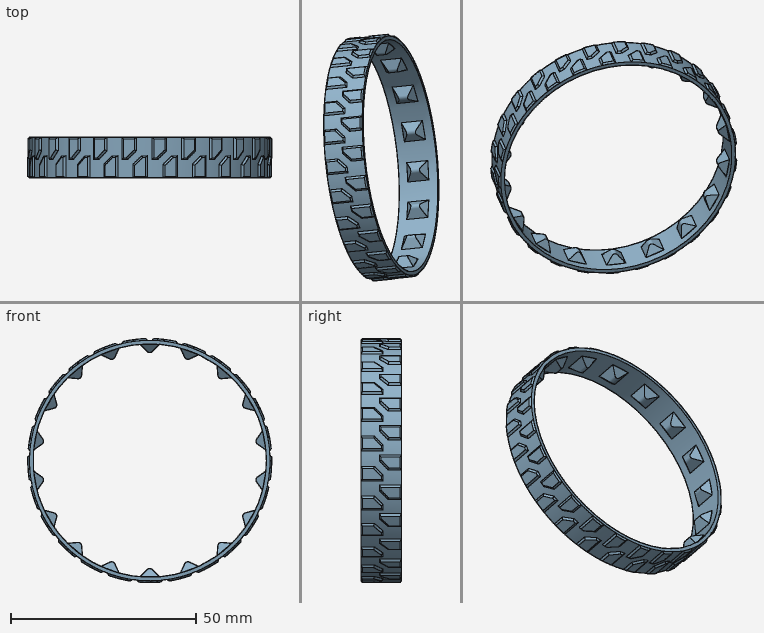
import cadquery as cq
import math

inner_diameter = 63.0
band_diameter = 65.0
tread_diameter = 66.0
ring_width = 11.0
band_radius = band_diameter / 2
tread_radius = tread_diameter / 2

blocks_per_row = 25
block_length = 6.0
block_width = 4.0
block_corner_cut = 2.35
block_top_corner_cut = 2.15
block_side_inset = 0.55
block_end_inset = 0.45
row_offset_angle = 4.55

lug_count = 18
lug_length = 6.0
lug_width = 5.3
lug_side_taper = 45.0
lug_end_taper = 38.0
lug_ridge_radius = 1.0

block_root = math.sqrt(band_radius**2 - (block_width / 2) ** 2)
lug_root = math.sqrt((inner_diameter / 2) ** 2 - (lug_width / 2) ** 2)


def disc(radius):
    """Solid disc across the full ring width."""
    return cq.Workplane("XZ", origin=(0, ring_width / 2, 0)).circle(radius).extrude(ring_width)


def around_ring(shape, count, first_angle):
    """Equally spaced copies of a shape turned about the Y axis, clockwise seen from -Y."""
    step = 360 / count
    return [shape.rotate((0, 0, 0), (0, 1, 0), first_angle + i * step).val() for i in range(count)]


def block_outline(workplane, side_inset, end_inset, corner_cut):
    """Block rectangle on the -Y edge, inset, with its -X inner corner cut at 45 degrees."""
    half_width = block_width / 2 - side_inset
    outer_end = -ring_width / 2 + end_inset
    inner_end = -ring_width / 2 + block_length - end_inset
    return (
        workplane.moveTo(-half_width, outer_end)
        .lineTo(half_width, outer_end)
        .lineTo(half_width, inner_end)
        .lineTo(-half_width + corner_cut, inner_end)
        .lineTo(-half_width, inner_end - corner_cut)
        .close()
    )


def tread_block():
    """Tapered block at +Z on the -Y edge, its top rounded to the tread diameter."""
    root_plane = cq.Workplane("XY", origin=(0, 0, block_root))
    root = block_outline(root_plane, 0, 0, block_corner_cut)
    top_plane = root.workplane(offset=tread_radius - block_root)
    top = block_outline(top_plane, block_side_inset, block_end_inset, block_top_corner_cut)
    return top.loft(ruled=True).intersect(disc(tread_radius))


def lug():
    """Hipped ridge at +Z pointing to the ring axis, with a rounded ridge line."""
    half_width = lug_width / 2
    half_length = lug_length / 2
    ridge_height = half_width / math.tan(math.radians(lug_side_taper))
    ridge = lug_root - ridge_height
    ridge_half_length = half_length - ridge_height * math.tan(math.radians(lug_end_taper))
    ridge_section = (
        cq.Workplane("XZ", origin=(0, half_length, 0))
        .moveTo(-half_width, lug_root)
        .lineTo(0, ridge)
        .lineTo(half_width, lug_root)
        .threePointArc((0, inner_diameter / 2), (-half_width, lug_root))
        .close()
        .extrude(lug_length)
        .edges("|Y and <Z")
        .fillet(lug_ridge_radius)
    )
    hip_section = (
        cq.Workplane("YZ", origin=(-half_width, 0, 0))
        .moveTo(-half_length, lug_root)
        .lineTo(-ridge_half_length, ridge)
        .lineTo(ridge_half_length, ridge)
        .lineTo(half_length, lug_root)
        .lineTo(half_length, band_radius)
        .lineTo(-half_length, band_radius)
        .close()
        .extrude(lug_width)
    )
    return ridge_section.intersect(hip_section)


band = disc(band_radius).cut(disc(inner_diameter / 2))

front_block = tread_block()
back_block = front_block.rotate((0, 0, 0), (0, 0, 1), 180)
front_row = around_ring(front_block, blocks_per_row, -row_offset_angle)
back_row = around_ring(back_block, blocks_per_row, row_offset_angle)
lugs = around_ring(lug(), lug_count, 0)

result = cq.Workplane(band.val().fuse(*front_row, *back_row, *lugs))